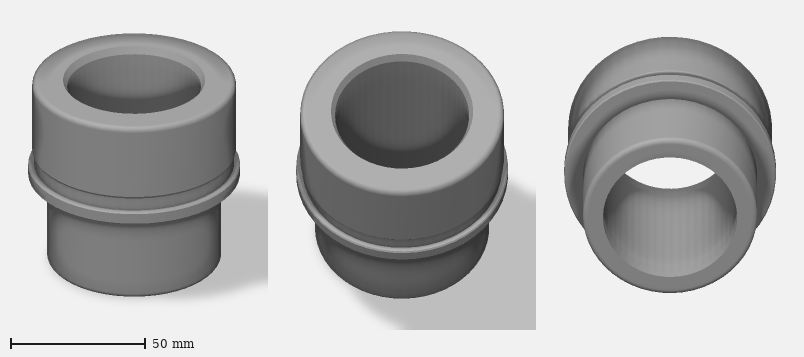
import cadquery as cq

height = 75.0
bore_diameter = 50.0

flange_diameter = 79.0
flange_bottom = 35.0
flange_thickness = 5.0
flange_chamfer = 0.5

body_diameter = 76.0
neck_diameter = 74.7
neck_length = 5.05
body_chamfer_height = 0.95

spigot_diameter = 65.0
taper_depth = 0.8
taper_height = 1.7

end_fillet = 2.0
bore_chamfer_width = 1.5
bore_chamfer_height = 2.6

flange_top = flange_bottom + flange_thickness
neck_top = flange_top + neck_length
bore_radius = bore_diameter / 2
flange_radius = flange_diameter / 2
body_radius = body_diameter / 2
neck_radius = neck_diameter / 2
spigot_radius = spigot_diameter / 2


def make_body():
    """Solid of revolution about Z, drawn as a (radius, height) half profile."""
    profile = [
        (0, 0),
        (spigot_radius, 0),
        (spigot_radius, flange_bottom - taper_height),
        (spigot_radius - taper_depth, flange_bottom),
        (flange_radius - flange_chamfer, flange_bottom),
        (flange_radius, flange_bottom + flange_chamfer),
        (flange_radius, flange_top - flange_chamfer),
        (flange_radius - flange_chamfer, flange_top),
        (neck_radius, flange_top),
        (neck_radius, neck_top),
        (body_radius, neck_top + body_chamfer_height),
        (body_radius, height),
        (0, height),
    ]
    body = cq.Workplane("XZ").polyline(profile).close().revolve(360, (0, 0), (0, 1))
    return body.faces("<Z or >Z").edges().fillet(end_fillet)


def make_bore():
    """Through bore that widens into a conical lead-in at the top."""
    mouth_radius = bore_radius + bore_chamfer_width
    profile = [
        (0, 0),
        (bore_radius, 0),
        (bore_radius, height - bore_chamfer_height),
        (mouth_radius, height),
        (0, height),
    ]
    return cq.Workplane("XZ").polyline(profile).close().revolve(360, (0, 0), (0, 1))


result = make_body().cut(make_bore())